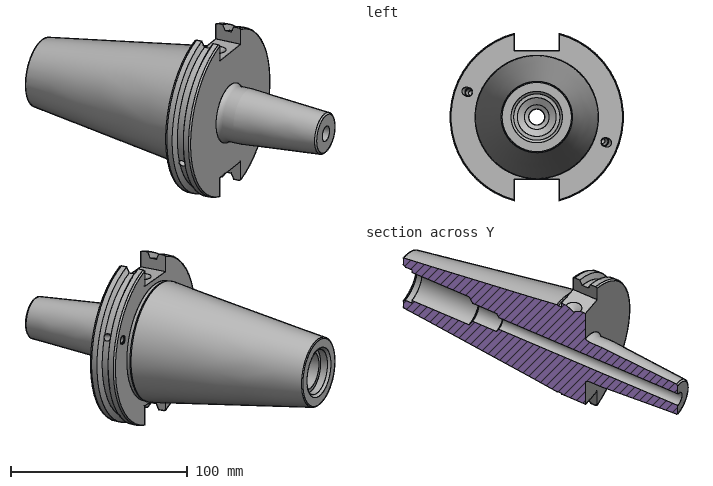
import cadquery as cq
import math

total_length = 181.6
gauge_x = 101.7
flange_start = 104.6
flange_end = 120.5

taper_ratio = 7 / 24
gauge_radius = 70.0 / 2
taper_end_radius = gauge_radius - gauge_x * taper_ratio / 2
taper_end_chamfer = 0.5
neck_radius = 69.2 / 2
neck_start = 102.6

flange_radius = 98.0 / 2
flange_chamfer = 1.0
flange_chamfer_depth = 0.5
groove_floor_radius = 91.5 / 2
groove_floor_width = 3.8
groove_mouth_width = 7.0
groove_center = flange_start + 8.0

nose_radius = 32.0 / 2
nose_fillet_length = 3.3
nose_fillet_height = 1.5
nose_cylinder_end = flange_end + 10.5
tip_radius = 24.3 / 2
tip_chamfer = 0.9

entry_radius = 26.2 / 2
entry_chamfer = 1.5
entry_depth = 5.8
thread_radius = 22.0 / 2
thread_depth = 43.5
middle_radius = 14.0 / 2
middle_depth = 61.7
through_radius = 8.9 / 2
drill_half_angle = math.radians(60)

slot_width = 25.5
slot_floors = (37.6, -35.2)
slot_edge_z = 2 * flange_radius
dimple_radius = 9.5 / 2

coolant_directions = (20, 200)
coolant_entry_radius = 42.0
coolant_tilt = math.radians(30)
coolant_mouth_radius = 5.0 / 2
coolant_mouth_depth = 2.2
coolant_inner_radius = 4.2 / 2
coolant_depth = 7.6
plug_hole_radius = 4.2 / 2
plug_hole_depth = 10.9


def drill_tip(radius, end_radius=0.0):
    """Length of a drill cone narrowing from radius to end_radius."""
    return (radius - end_radius) / math.tan(drill_half_angle)


def make_body():
    """Taper, flange and nose turned around X."""
    floor_half = groove_floor_width / 2
    mouth_half = groove_mouth_width / 2
    rim_edge_radius = flange_radius - flange_chamfer_depth
    fillet_radius = (nose_fillet_length**2 + nose_fillet_height**2) / (2 * nose_fillet_height)
    half_sweep = math.asin(nose_fillet_length / fillet_radius) / 2
    fillet_end = flange_end + nose_fillet_length
    fillet_middle = (
        fillet_end - fillet_radius * math.sin(half_sweep),
        nose_radius + fillet_radius * (1 - math.cos(half_sweep)),
    )
    profile = (
        cq.Workplane("XY")
        .lineTo(0, taper_end_radius - taper_end_chamfer)
        .lineTo(taper_end_chamfer, taper_end_radius + taper_end_chamfer * taper_ratio / 2)
        .lineTo(gauge_x, gauge_radius)
        .lineTo(neck_start, neck_radius)
        .lineTo(flange_start, neck_radius)
        .lineTo(flange_start, rim_edge_radius)
        .lineTo(flange_start + flange_chamfer, flange_radius)
        .lineTo(groove_center - mouth_half, flange_radius)
        .lineTo(groove_center - floor_half, groove_floor_radius)
        .lineTo(groove_center + floor_half, groove_floor_radius)
        .lineTo(groove_center + mouth_half, flange_radius)
        .lineTo(flange_end - flange_chamfer, flange_radius)
        .lineTo(flange_end, rim_edge_radius)
        .lineTo(flange_end, nose_radius + nose_fillet_height)
        .threePointArc(fillet_middle, (fillet_end, nose_radius))
        .lineTo(nose_cylinder_end, nose_radius)
        .lineTo(total_length - tip_chamfer, tip_radius)
        .lineTo(total_length, tip_radius - tip_chamfer)
        .lineTo(total_length, 0)
        .close()
    )
    return profile.revolve(360, (0, 0, 0), (1, 0, 0))


def make_bore():
    """Stepped bore that opens at the small end of the taper and runs through."""
    profile = (
        cq.Workplane("XY")
        .lineTo(0, entry_radius + entry_chamfer)
        .lineTo(entry_chamfer, entry_radius)
        .lineTo(entry_depth, entry_radius)
        .lineTo(entry_depth, thread_radius)
        .lineTo(thread_depth, thread_radius)
        .lineTo(thread_depth + drill_tip(thread_radius, middle_radius), middle_radius)
        .lineTo(middle_depth, middle_radius)
        .lineTo(middle_depth + drill_tip(middle_radius, through_radius), through_radius)
        .lineTo(total_length, through_radius)
        .lineTo(total_length, 0)
        .close()
    )
    return profile.revolve(360, (0, 0, 0), (1, 0, 0))


def make_drive_slot(floor_z):
    """Slot across the flange, from its floor outward past the rim."""
    outer_z = math.copysign(slot_edge_z, floor_z)
    return cq.Workplane("XY").box(
        flange_end - flange_start, slot_width, abs(outer_z - floor_z)
    ).translate(((flange_start + flange_end) / 2, 0, (floor_z + outer_z) / 2))


def make_dimple():
    """Conical drill-point dimple in the upper slot floor."""
    floor_z = slot_floors[0]
    return (
        cq.Workplane("XZ")
        .moveTo(0, floor_z)
        .lineTo(dimple_radius, floor_z)
        .lineTo(0, floor_z - drill_tip(dimple_radius))
        .close()
        .revolve(360, (0, 0, 0), (0, 1, 0))
        .translate(((flange_start + flange_end) / 2, 0, 0))
    )


def make_coolant_hole(direction):
    """Stepped slanted hole in the flange face and the radial plug hole in the groove."""
    entry = cq.Vector(flange_start, coolant_entry_radius, 0)
    axis = cq.Vector(math.cos(coolant_tilt), -math.sin(coolant_tilt), 0)
    overrun = coolant_mouth_radius
    start = entry - axis * overrun
    mouth = cq.Solid.makeCylinder(coolant_mouth_radius, coolant_mouth_depth + overrun, start, axis)
    inner = cq.Solid.makeCylinder(coolant_inner_radius, coolant_depth + overrun, start, axis)
    plug = cq.Solid.makeCylinder(
        plug_hole_radius,
        plug_hole_depth + flange_radius - groove_floor_radius,
        cq.Vector(groove_center, flange_radius, 0),
        cq.Vector(0, -1, 0),
    )
    hole = cq.Workplane(mouth.fuse(inner, plug))
    return hole.rotate((0, 0, 0), (1, 0, 0), direction)


result = make_body().cut(make_bore())
for slot_floor in slot_floors:
    result = result.cut(make_drive_slot(slot_floor))
result = result.cut(make_dimple())
for coolant_direction in coolant_directions:
    result = result.cut(make_coolant_hole(coolant_direction))